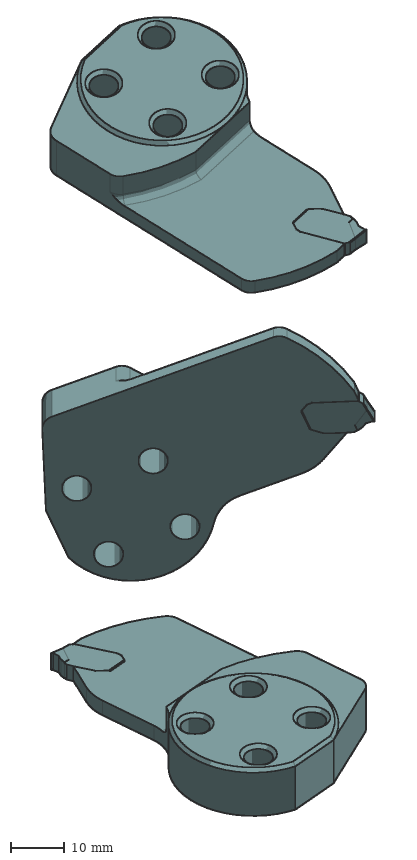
import cadquery as cq
import math

plate_thickness = 3.4
shoulder_height = 10.0
disc_rise = 0.7
disc_height = shoulder_height + disc_rise

disc_radius = 16.0
flat_x = -15.0
bolt_circle_diameter = 22.0
bolt_hole_diameter = 5.5
bolt_hole_mouth_diameter = 7.0
bolt_count = 4
first_bolt_angle = 45.0

front_y = -24.0
corner_radius = 3.0
back_edge_y = 5.5
neck_radius = 8.0
back_slope_angle = 30.0
back_slope_start_x = 35.2
back_bend_radius = 10.0
nose_x = 48.5
nose_arc_radius = 34.8
nose_arc_center = (14.3, -0.9)

wall_x = disc_radius
wall_to_nose_distance = 32.0
wall_arc_radius = nose_arc_radius
wall_arc_center = (nose_arc_center[0] - wall_to_nose_distance, nose_arc_center[1])
foot_radius = 1.5

overrun = 10.0
pick_margin = 0.1

insert_mid_z = plate_thickness / 2
insert_thickness = 3.5
cutting_width = 4.03
flank_edge_chamfer = 0.15
end_bevel = 0.2
insert_end_x = 37.6
seat_outline = [
    (45.1, 0.95),
    (43.93, 0.6),
    (39.7, -1.0),
    (insert_end_x, -2.85),
    (insert_end_x, -7.1),
    (39.2, -8.0),
    (40.2, -8.0),
    (48.4, -5.02),
    (49.1, -4.1),
]
cutting_tip = (49.6, 0.2)
rake_outline = [(49.2, -0.02), (47.9, -0.05), (46.9, 0.5), (45.8, 0.8)]
crease_back = (45.8, -0.45)
crease_front = (49.22, -2.75)


def circle_intersect_x(center, radius, y):
    """X of the right-hand point of a circle at height y."""
    return center[0] + math.sqrt(radius**2 - (y - center[1]) ** 2)


def prism(path, height):
    """Close an outline and extrude it."""
    return path.close().extrude(height)


def outline_prism():
    """Full holder outline, extruded up to the shoulder height."""
    flat_y = math.sqrt(disc_radius**2 - flat_x**2)
    side_slope = flat_y / -flat_x
    side_end_x = flat_x + (-flat_y - front_y) * side_slope

    neck_y = back_edge_y + neck_radius
    neck_x = math.sqrt((disc_radius + neck_radius) ** 2 - neck_y**2)
    tangent_share = disc_radius / (disc_radius + neck_radius)
    neck_start = (neck_x * tangent_share, neck_y * tangent_share)
    neck_mid_angle = (math.atan2(-neck_y, -neck_x) - math.pi / 2) / 2
    neck_mid = (
        neck_x + neck_radius * math.cos(neck_mid_angle),
        neck_y + neck_radius * math.sin(neck_mid_angle),
    )

    slope = math.tan(math.radians(back_slope_angle))
    nose_top_y = back_edge_y - slope * (nose_x - back_slope_start_x)
    nose_arc_start_y = nose_arc_center[1] - math.sqrt(
        nose_arc_radius**2 - (nose_x - nose_arc_center[0]) ** 2
    )
    nose_mid_y = (nose_arc_start_y + front_y) / 2
    nose_mid = (circle_intersect_x(nose_arc_center, nose_arc_radius, nose_mid_y), nose_mid_y)
    nose_end = (circle_intersect_x(nose_arc_center, nose_arc_radius, front_y), front_y)

    outline = prism(
        cq.Workplane("XY")
        .moveTo(flat_x, -flat_y)
        .lineTo(flat_x, flat_y)
        .threePointArc((0, disc_radius), neck_start)
        .threePointArc(neck_mid, (neck_x, back_edge_y))
        .lineTo(back_slope_start_x, back_edge_y)
        .lineTo(nose_x, nose_top_y)
        .lineTo(nose_x, nose_arc_start_y)
        .threePointArc(nose_mid, nose_end)
        .lineTo(side_end_x, front_y),
        shoulder_height,
    )
    outline = outline.faces("<Y").edges("|Z").fillet(corner_radius)
    bend = cq.selectors.NearestToPointSelector((back_slope_start_x, back_edge_y, shoulder_height / 2))
    return outline.edges("|Z").edges(bend).fillet(back_bend_radius)


def slab():
    """Thin plate reaching past the holder outline on every side."""
    left_x = flat_x - overrun
    slab_front_y = front_y - overrun
    width = nose_arc_center[0] + nose_arc_radius + overrun - left_x
    depth = disc_radius + overrun - slab_front_y
    plate = cq.Workplane("XY").box(width, depth, plate_thickness, centered=False)
    return plate.translate((left_x, slab_front_y, 0))


def fillet_foot(shoulder):
    """Join a shoulder to the thin plate with a rounded foot along its wall."""
    block = slab().union(shoulder)
    foot = cq.selectors.BoxSelector(
        (flat_x, front_y - overrun / 2, plate_thickness - pick_margin),
        (wall_x + overrun, disc_radius + 2 * overrun, plate_thickness + pick_margin),
    )
    return block.edges(foot).fillet(foot_radius)


def straight_wall_block():
    """Shoulder bounded by the straight wall beside the disc."""
    left_x = flat_x - overrun
    shoulder = cq.Workplane("XY").box(
        wall_x - left_x, disc_radius - front_y + 2 * overrun, shoulder_height, centered=False
    )
    return fillet_foot(shoulder.translate((left_x, front_y - overrun, 0)))


def curved_wall_block():
    """Shoulder bounded by the curved wall, which is rounded off into the front edge."""
    left_x = flat_x - overrun
    back_y = disc_radius + overrun
    wall_top = (circle_intersect_x(wall_arc_center, wall_arc_radius, back_y), back_y)
    wall_mid = (wall_arc_center[0] + wall_arc_radius, wall_arc_center[1])
    wall_end = (circle_intersect_x(wall_arc_center, wall_arc_radius, front_y), front_y)
    shoulder = prism(
        cq.Workplane("XY")
        .moveTo(left_x, back_y)
        .lineTo(*wall_top)
        .threePointArc(wall_mid, wall_end)
        .lineTo(left_x, front_y),
        shoulder_height,
    )
    wall_corner = cq.selectors.NearestToPointSelector((*wall_end, shoulder_height / 2))
    return fillet_foot(shoulder.edges("|Z").edges(wall_corner).fillet(corner_radius))


def mounting_disc():
    """Raised disc with a flat side and a chamfered rim."""
    disc = cq.Workplane("XY").circle(disc_radius).extrude(disc_height)
    trim = cq.Workplane("XY").box(
        disc_radius - flat_x, 2 * disc_radius, disc_height, centered=(False, True, False)
    )
    disc = disc.intersect(trim.translate((flat_x, 0, 0)))
    return disc.faces(">Z").edges().chamfer(disc_rise)


def bolt_holes():
    """Countersunk through holes on the bolt circle."""
    mouth_depth = (bolt_hole_mouth_diameter - bolt_hole_diameter) / 2
    radius = bolt_hole_diameter / 2
    profile = (
        cq.Workplane("XZ")
        .lineTo(radius, 0)
        .lineTo(radius, disc_height - mouth_depth)
        .lineTo(radius + mouth_depth, disc_height)
        .lineTo(0, disc_height)
        .close()
    )
    tool = profile.revolve(360, (0, 0, 0), (0, 1, 0))
    places = cq.Workplane("XY").polarArray(bolt_circle_diameter / 2, first_bolt_angle, 360, bolt_count)
    return places.eachpoint(lambda place: tool.val().moved(place), combine=False)


def insert_blank():
    """Flat seat part and a head that widens up to the cutting edge."""
    body_outline = seat_outline + [crease_front, crease_back, rake_outline[-1]]
    body = prism(cq.Workplane("XY").polyline(body_outline), insert_thickness)
    body = body.translate((0, 0, -insert_thickness / 2))

    head_outline = [crease_back, crease_front, cutting_tip] + rake_outline
    head = prism(cq.Workplane("XY").polyline(head_outline), cutting_width)
    head = head.translate((0, 0, -cutting_width / 2))

    along = cq.Vector(crease_front[0] - crease_back[0], crease_front[1] - crease_back[1], 0)
    across = cq.Vector(-along.y, along.x, 0).normalized()
    reach = (cq.Vector(*cutting_tip) - cq.Vector(*crease_back)).dot(across)
    section = cq.Plane(origin=(*crease_back, 0), xDir=across.toTuple(), normal=along.toTuple())
    wedge = (
        cq.Workplane(section)
        .moveTo(0, -insert_thickness / 2)
        .lineTo(0, insert_thickness / 2)
        .lineTo(reach, cutting_width / 2)
        .lineTo(reach, -cutting_width / 2)
        .close()
        .extrude(along.Length * 2, both=True)
    )
    blade = body.union(head.intersect(wedge))

    flank_mid = [(tip + crease) / 2 for tip, crease in zip(cutting_tip, crease_front)]
    for side in (1, -1):
        edge_near = cq.selectors.NearestToPointSelector((*flank_mid, side * cutting_width / 2))
        blade = blade.edges(edge_near).chamfer(flank_edge_chamfer)
    return blade.translate((0, 0, insert_mid_z))


def cutting_insert(blank):
    """Insert blank with both edges of its inner end bevelled."""
    return blank.faces("<X").edges("|Y").chamfer(end_bevel)


blank = insert_blank()
insert = cutting_insert(blank)

holder = straight_wall_block().intersect(curved_wall_block()).intersect(outline_prism())
holder = holder.union(mounting_disc()).cut(bolt_holes()).cut(blank)

result = cq.Compound.makeCompound([holder.val(), insert.val()])